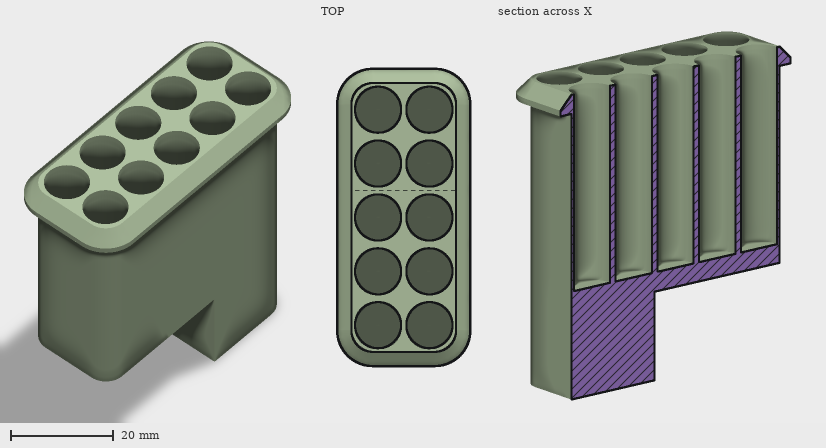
import cadquery as cq

pocket_diameter = 9.0
pocket_columns = 2
pocket_rows = 5
pocket_pitch_x = 10.0
pocket_pitch_y = 10.495
pocket_depth = 40.0
pocket_edge_margin = 0.7

body_length_x = (pocket_columns - 1) * pocket_pitch_x + pocket_diameter + 2 * pocket_edge_margin
body_length_y = (pocket_rows - 1) * pocket_pitch_y + pocket_diameter + 2 * pocket_edge_margin
body_corner_radius = 4.2

rim_height = 4.0
rim_chamfer = 2.8
rim_length_x = body_length_x + 2 * rim_chamfer
rim_length_y = body_length_y + 2 * rim_chamfer
rim_corner_radius = body_corner_radius + rim_chamfer

total_height = 62.0
foot_height = 18.0
rim_bottom_z = total_height - rim_height

foot_front_y = pocket_pitch_y / 2


def rounded_block(length_x, length_y, height, corner_radius, bottom_z):
    """Upright block with rounded vertical edges, centred on the Z axis."""
    return (
        cq.Workplane("XY", origin=(0, 0, bottom_z))
        .rect(length_x, length_y)
        .extrude(height)
        .edges("|Z")
        .fillet(corner_radius)
    )


def make_body():
    """Rounded column, cut away underneath so that only the foot on the +Y side reaches the bottom."""
    column = rounded_block(body_length_x, body_length_y, rim_bottom_z, body_corner_radius, 0)
    undercut_length_y = body_length_y / 2 + foot_front_y
    undercut = (
        cq.Workplane("XY")
        .center(0, foot_front_y - undercut_length_y / 2)
        .rect(body_length_x, undercut_length_y)
        .extrude(foot_height)
    )
    return column.cut(undercut)


def make_rim():
    """Overhanging rim with a 45 degree chamfer around its top face."""
    rim = rounded_block(rim_length_x, rim_length_y, rim_height, rim_corner_radius, rim_bottom_z)
    return rim.faces(">Z").chamfer(rim_chamfer)


def make_pockets():
    """Grid of round pockets reaching down from the top face."""
    return (
        cq.Workplane("XY", origin=(0, 0, total_height))
        .rarray(pocket_pitch_x, pocket_pitch_y, pocket_columns, pocket_rows)
        .circle(pocket_diameter / 2)
        .extrude(-pocket_depth)
    )


result = make_body().union(make_rim()).cut(make_pockets())